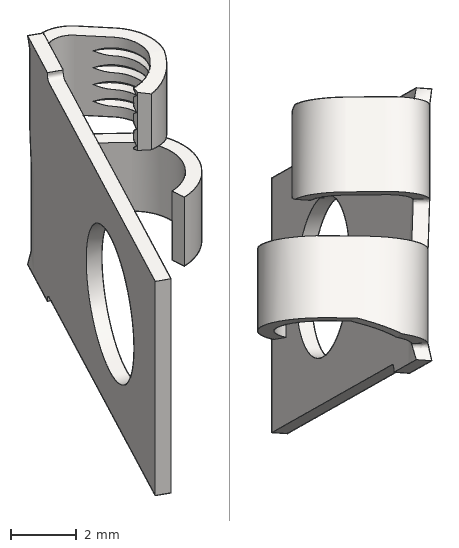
import cadquery as cq
import math

thickness = 0.5
length = 14.79
half_height = 4.22
body_half_height = 3.95
shoulder_end_x = 3.46
shoulder_radius = 0.18
hole_diameter = 5.0
hole_x = 10.04

inner_slit_z = 0.77
outer_slit_z = 3.71
tongue_width = outer_slit_z - inner_slit_z
notch_x = 1.38
notch_radius = 0.15
web_excess = 0.18

large_bend_radius = 2.07
large_bend_x = 2.07
large_lean = 15
large_wall = 1.05
large_hook_radius = 2.07
large_tip_angle = 31
large_taper = 0.4
large_taper_start_y = 1.39
large_taper_end_y = 2.84

small_bend_radius = 1.29
small_bend_x = 1.79
small_lean = 22
small_wall = 1.2
small_hook_radius = 1.73
small_tip_angle = 30
small_tip_inner_angle = 19
small_tip_corner_radius = 1.43
small_tip_corner_angle = 19
small_taper = 3
groove_count = 4
groove_pitch = 0.62
groove_depth = 0.15


def polar(center, radius, angle):
    """Point at the given radius and angle (degrees) about a center."""
    a = math.radians(angle)
    return (center[0] + radius * math.cos(a), center[1] + radius * math.sin(a))


def hook_center(bend_x, bend_radius, lean, wall, hook_radius):
    """Center of the hook that continues the wall tangentially."""
    wall_start = polar((bend_x, bend_radius), bend_radius, 180 - lean)
    wall_end = polar(wall_start, wall, 90 - lean)
    return polar(wall_end, hook_radius, -lean)


def tongue(bend_x, bend_radius, lean, hook, hook_radius, tip, z_low):
    """Rolled strip; tip lists the end points from the outer to the inner skin."""
    bend = (bend_x, bend_radius)
    wall_angle = 180 - lean
    bend_middle = (270 + wall_angle) / 2
    inner_bend = bend_radius - thickness
    inner_hook = hook_radius - thickness
    return (
        cq.Workplane("XY", origin=(0, 0, z_low))
        .moveTo(shoulder_end_x, 0)
        .lineTo(bend_x, 0)
        .threePointArc(polar(bend, bend_radius, bend_middle), polar(bend, bend_radius, wall_angle))
        .lineTo(*polar(hook, hook_radius, wall_angle))
        .threePointArc(polar(hook, hook_radius, 90), tip[0])
        .polyline(tip, includeCurrent=False)
        .threePointArc(polar(hook, inner_hook, 90), polar(hook, inner_hook, wall_angle))
        .lineTo(*polar(bend, inner_bend, wall_angle))
        .threePointArc(polar(bend, inner_bend, bend_middle), (bend_x, thickness))
        .lineTo(shoulder_end_x, thickness)
        .close()
        .extrude(tongue_width)
    )


def end_sweep(bend_x, bend_radius):
    """Bend angle at which the outer skin reaches notch_x."""
    return math.degrees(math.asin((bend_x - notch_x) / bend_radius))


def web_section(z, bend_x, bend_radius=None):
    """Sheet section beside a tongue, slightly overlong; flat when no bend radius is given."""
    def skin(y, share):
        """Point on the skin at depth y, a share of the way from the bend start to the end."""
        if bend_radius is None:
            return cq.Vector(bend_x + share * (notch_x - web_excess - bend_x), y, z)
        sweep = end_sweep(bend_x, bend_radius) + math.degrees(web_excess / bend_radius)
        return cq.Vector(*polar((bend_x, bend_radius), bend_radius - y, 270 - share * sweep), z)

    def bent_edge(y, start, end):
        if bend_radius is None:
            return cq.Edge.makeLine(skin(y, start), skin(y, end))
        return cq.Edge.makeThreePointArc(skin(y, start), skin(y, 0.5), skin(y, end))

    outer_corner = cq.Vector(shoulder_end_x, 0, z)
    inner_corner = cq.Vector(shoulder_end_x, thickness, z)
    return cq.Wire.assembleEdges([
        cq.Edge.makeLine(outer_corner, skin(0, 0)),
        bent_edge(0, 0, 1),
        cq.Edge.makeLine(skin(0, 1), skin(thickness, 1)),
        bent_edge(thickness, 1, 0),
        cq.Edge.makeLine(skin(thickness, 0), inner_corner),
        cq.Edge.makeLine(inner_corner, outer_corner),
    ])


def notch_section(z, bend_x, bend_radius=None):
    """Section of the space beyond a web's end, which stands square to the sheet."""
    lean = 0 if bend_radius is None else math.radians(end_sweep(bend_x, bend_radius))
    start_y = 0 if bend_radius is None else bend_radius * (1 - math.cos(lean))
    ends = []
    for depth in (-thickness, 2 * thickness):
        ends.append(cq.Vector(notch_x + depth * math.sin(lean), start_y + depth * math.cos(lean), z))
    far = cq.Vector(-notch_x, 0, 0)
    return cq.Wire.makePolygon([ends[0], ends[1], ends[1] + far, ends[0] + far], close=True)


def web(lower, upper, tongue_sides):
    """Loft between two sections (z and bend), ended square with rounded corners at the tongues."""
    body = cq.Workplane(cq.Solid.makeLoft([web_section(*lower), web_section(*upper)], True))
    space = cq.Workplane(cq.Solid.makeLoft([notch_section(*lower), notch_section(*upper)], True))
    for side in tongue_sides:
        space = space.faces(side).edges(">X").fillet(notch_radius)
    return body.cut(space)


sheet = (
    cq.Workplane("XY")
    .box(length - shoulder_end_x, thickness, 2 * half_height, centered=(False, False, True))
    .translate((shoulder_end_x, 0, 0))
)
trim_height = 2 * (half_height - body_half_height)
for side in (1, -1):
    trim = (
        cq.Workplane("XY")
        .box(length, 3 * thickness, trim_height, centered=(False, True, True))
        .translate((shoulder_end_x, 0, side * half_height))
        .edges("<X and <Z" if side > 0 else "<X and >Z")
        .fillet(shoulder_radius)
    )
    sheet = sheet.cut(trim)
hole = (
    cq.Workplane("XZ", origin=(hole_x, 0, 0))
    .circle(hole_diameter / 2)
    .extrude(thickness, both=True)
)
sheet = sheet.cut(hole)

large_hook = hook_center(large_bend_x, large_bend_radius, large_lean, large_wall, large_hook_radius)
large_tip = [
    polar(large_hook, large_hook_radius, large_tip_angle),
    polar(large_hook, large_hook_radius - thickness, large_tip_angle),
]
large_tongue = tongue(
    large_bend_x, large_bend_radius, large_lean, large_hook, large_hook_radius, large_tip, -outer_slit_z
)
large_taper_cut = (
    cq.Workplane("YZ")
    .polyline([
        (large_taper_start_y, -outer_slit_z),
        (large_taper_end_y, large_taper - outer_slit_z),
        (length, large_taper - outer_slit_z),
        (length, -outer_slit_z),
    ])
    .close()
    .extrude(length, both=True)
)
large_tongue = large_tongue.cut(large_taper_cut)

small_hook = hook_center(small_bend_x, small_bend_radius, small_lean, small_wall, small_hook_radius)
small_tip = [
    polar(small_hook, small_hook_radius, small_tip_angle),
    polar(small_hook, small_tip_corner_radius, small_tip_corner_angle),
    polar(small_hook, small_hook_radius - thickness, small_tip_inner_angle),
]
small_tongue = tongue(
    small_bend_x, small_bend_radius, small_lean, small_hook, small_hook_radius, small_tip, inner_slit_z
)
tip_x = small_tip[0][0]
for edge_z, inward in ((outer_slit_z, -0.15), (inner_slit_z, 0.15)):
    taper_cut = (
        cq.Workplane("XZ", origin=(0, small_hook[1], 0))
        .polyline([
            (small_hook[0], edge_z),
            (tip_x, edge_z + inward * small_taper),
            (tip_x, edge_z),
        ])
        .close()
        .extrude(-small_hook_radius)
    )
    small_tongue = small_tongue.cut(taper_cut)

groove_radius = small_hook_radius - thickness
for index in range(groove_count):
    offset = (index - (groove_count - 1) / 2) * groove_pitch
    groove_z = inner_slit_z + tongue_width / 2 + offset
    groove = (
        cq.Workplane("XZ", origin=(small_hook[0], small_hook[1], groove_z))
        .polyline([
            (0, -groove_depth),
            (groove_radius, -groove_depth),
            (groove_radius + groove_depth, 0),
            (groove_radius, groove_depth),
            (0, groove_depth),
        ])
        .close()
        .revolve(360, (0, 0, 0), (0, 1, 0))
    )
    small_tongue = small_tongue.cut(groove)

large_section = (large_bend_x, large_bend_radius)
small_section = (small_bend_x, small_bend_radius)
middle_web = web(
    (-inner_slit_z, *large_section),
    (inner_slit_z, *small_section),
    ("<Z", ">Z"),
)
upper_web = web((outer_slit_z, *small_section), (half_height, small_bend_x), ("<Z",))
lower_web = web((-half_height, large_bend_x), (-outer_slit_z, *large_section), (">Z",))

result = sheet
for piece in (large_tongue, small_tongue, middle_web, upper_web, lower_web):
    result = result.union(piece)